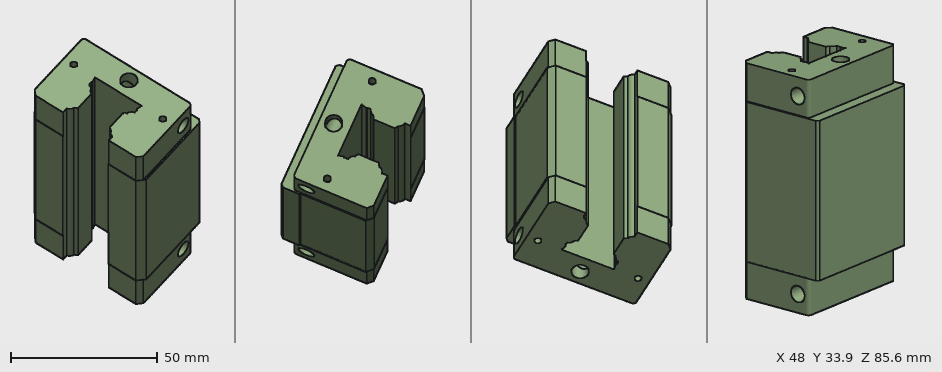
import cadquery as cq
import math


length = 85.6
body_width = 48.0
height = 33.9

cap_length = 13.8
cap_width = 46.65
cap_height = 29.45
cap_base_y = 0.1
cap_fillet = 1.3

body_length = length - 2 * cap_length
body_chamfer = 1.0
foot_flat_half = 21.5
reference_step = 0.3
reference_edge_y = 26.8

channel_half_width = 9.8
channel_ceiling_y = 18.5
ceiling_half_width = 10.0
nib_half_width = 9.5
nib_y = 16.5
nib_base_y = 16.3
lip_half_width = 6.8
lip_bottom_y = 4.6
lip_top_y = 12.4
race_radius = 2.4
race_center_x = 10.3
race_center_y = 4.5
race_inner_x = 8.0

port_diameter = 6.0
port_y = 24.5
port_depth = cap_length / 2
screw_hole_diameter = 2.4
screw_hole_x = 19.1
screw_hole_y = 18.5
screw_hole_depth = 6.85
drill_point_angle = 118.0


def make_body():
    half = body_width / 2
    relief = half - reference_step
    outline = [
        (-foot_flat_half, 0),
        (foot_flat_half, 0),
        (half, half - foot_flat_half),
        (half, height - body_chamfer),
        (half - body_chamfer, height),
        (-half + body_chamfer, height),
        (-half, height - body_chamfer),
        (-half, reference_edge_y),
        (-relief, reference_edge_y - reference_step),
        (-relief, relief - foot_flat_half),
    ]
    body = cq.Workplane("XY").polyline(outline).close()
    return body.extrude(body_length / 2, both=True)


def make_caps():
    half = cap_width / 2
    chamfer_top_y = cap_base_y + half - foot_flat_half
    outline = [
        (-foot_flat_half, cap_base_y),
        (foot_flat_half, cap_base_y),
        (half, chamfer_top_y),
        (half, cap_height),
        (-half, cap_height),
        (-half, chamfer_top_y),
    ]
    caps = cq.Workplane("XY").polyline(outline).close().extrude(length / 2, both=True)
    return caps.edges("|Z and >Y").fillet(cap_fillet)


def lower_race_point(distance_from_axis):
    """Point on the lower ball race on the -X side of the channel."""
    run = race_center_x - distance_from_axis
    return (-distance_from_axis, race_center_y - math.sqrt(race_radius**2 - run**2))


def mirror_across_lip(point):
    """The upper and lower races mirror each other about the middle of the lip face."""
    return (point[0], lip_bottom_y + lip_top_y - point[1])


def make_channel():
    outer = lower_race_point(channel_half_width)
    middle = lower_race_point((channel_half_width + race_inner_x) / 2)
    inner = lower_race_point(race_inner_x)

    left_half = (
        cq.Workplane("XY")
        .moveTo(0, 0)
        .lineTo(-channel_half_width, 0)
        .lineTo(*outer)
        .threePointArc(middle, inner)
        .lineTo(-lip_half_width, lip_bottom_y)
        .lineTo(-lip_half_width, lip_top_y)
        .lineTo(*mirror_across_lip(inner))
        .threePointArc(mirror_across_lip(middle), mirror_across_lip(outer))
        .lineTo(-channel_half_width, nib_base_y)
        .lineTo(-nib_half_width, nib_y)
        .lineTo(-ceiling_half_width, channel_ceiling_y)
        .lineTo(0, channel_ceiling_y)
        .close()
        .extrude(length / 2, both=True)
    )
    return left_half.union(left_half.mirror("YZ"))


def make_top_cap_holes():
    end_z = length / 2
    cross_bore = (
        cq.Workplane("YZ")
        .center(port_y, end_z - port_depth)
        .circle(port_diameter / 2)
        .extrude(body_width / 2, both=True)
    )
    port = (
        cq.Workplane("XY", origin=(0, port_y, end_z))
        .circle(port_diameter / 2)
        .extrude(-port_depth)
    )
    holes = cross_bore.union(port)

    radius = screw_hole_diameter / 2
    point_depth = radius / math.tan(math.radians(drill_point_angle / 2))
    half_section = [
        (0, 0),
        (radius, 0),
        (radius, -screw_hole_depth),
        (0, -screw_hole_depth - point_depth),
    ]
    for x in (-screw_hole_x, screw_hole_x):
        screw_hole = (
            cq.Workplane("XZ", origin=(x, screw_hole_y, end_z))
            .polyline(half_section)
            .close()
            .revolve(360, (0, 0), (0, 1))
        )
        holes = holes.union(screw_hole)
    return holes


top_holes = make_top_cap_holes()
result = (
    make_body()
    .union(make_caps())
    .cut(make_channel())
    .cut(top_holes)
    .cut(top_holes.mirror("XY"))
)